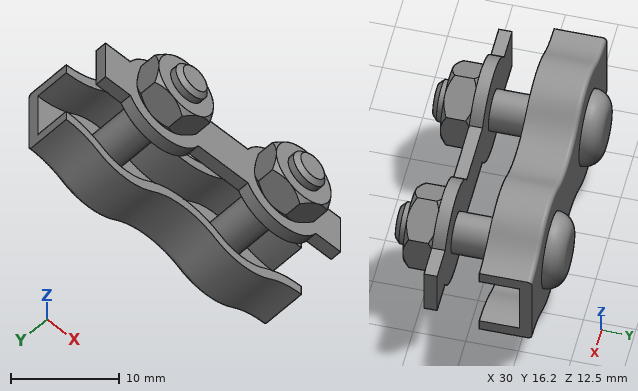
import cadquery as cq
import math

length = 30.0
bolt_spacing = length / 2
height = 12.45
valley_half_height = 4.05
crest_radius = 6.5
channel_depth = 5.0
sheet_thickness = 1.2
back_edge_radius = 0.45

plate_thickness = 1.25
plate_disc_diameter = 10.0
plate_bar_height = plate_disc_diameter / 2

bolt_diameter = 4.0
head_diameter = 7.35
head_height = 1.8
tip_chamfer = 0.48
tip_projection = 1.2
nut_flats = 7.0
nut_thickness = 2.95
total_depth = 16.2

tip_y = head_height - total_depth
nut_front_y = tip_y + tip_projection
plate_front_y = nut_front_y + nut_thickness
plate_back_y = plate_front_y + plate_thickness

bolt_positions = (-bolt_spacing / 2, bolt_spacing / 2)

half_pitch = bolt_spacing / 2
crest_center_z = height / 2 - crest_radius
valley_rise = valley_half_height - crest_center_z
valley_radius = (half_pitch**2 + valley_rise**2 - crest_radius**2) / (2 * (crest_radius - valley_rise))
valley_center_z = valley_half_height + valley_radius


def plane_at(y):
    """Work plane facing -Y at the given depth, with local x, y along X, Z."""
    return cq.Workplane("XZ", origin=(0, y, 0))


def cylinder(x, front_y, back_y, diameter):
    """Cylinder along Y between two depths."""
    return plane_at(back_y).center(x, 0).circle(diameter / 2).extrude(back_y - front_y)


def wavy_prism(inset, front_y, back_y):
    """Prism with two crests and a valley per long side, offset inward by inset."""
    crest = crest_radius - inset
    valley = valley_radius + inset
    crest_z = crest_center_z + crest
    valley_z = valley_center_z - valley
    slope = math.asin(half_pitch / (crest + valley))
    join_x = crest * math.sin(slope)
    join_z = crest_center_z + crest * math.cos(slope)
    valley_mid_x = half_pitch - valley * math.sin(slope / 2)
    valley_mid_z = valley_center_z - valley * math.cos(slope / 2)

    outline = plane_at(back_y).moveTo(-length / 2, -valley_z).lineTo(-length / 2, valley_z)
    for side in (1, -1):
        left, right = (side * x for x in bolt_positions)
        outline = (
            outline
            .threePointArc((left - side * valley_mid_x, side * valley_mid_z),
                           (left - side * join_x, side * join_z))
            .threePointArc((left, side * crest_z), (left + side * join_x, side * join_z))
            .threePointArc((0, side * valley_z), (right - side * join_x, side * join_z))
            .threePointArc((right, side * crest_z), (right + side * join_x, side * join_z))
            .threePointArc((right + side * valley_mid_x, side * valley_mid_z),
                           (side * length / 2, side * valley_z))
        )
        if side == 1:
            outline = outline.lineTo(length / 2, -valley_z)
    return outline.close().extrude(back_y - front_y)


def make_channel():
    """U-shaped channel, open toward -Y and at both ends."""
    body = wavy_prism(0, -channel_depth, 0)
    wavy_back_edges = body.faces(">Y").edges("not |Z")
    body = wavy_back_edges.fillet(back_edge_radius)
    return body.cut(wavy_prism(sheet_thickness, -channel_depth, -sheet_thickness))


def make_plate():
    """Flat bar with a round disc at each bolt."""
    plate = plane_at(plate_back_y).rect(length, plate_bar_height).extrude(plate_thickness)
    for x in bolt_positions:
        plate = plate.union(cylinder(x, plate_front_y, plate_back_y, plate_disc_diameter))
    return plate


def make_bolt(x):
    """Round-headed bolt with a chamfered tip."""
    shank = cylinder(x, tip_y, 0, bolt_diameter).faces("<Y").chamfer(tip_chamfer)
    head_arc_center = head_diameter / 2 - head_height
    arc_offset = head_height * math.sqrt(0.5)
    head = (
        cq.Workplane("XY")
        .lineTo(head_diameter / 2, 0)
        .threePointArc((head_arc_center + arc_offset, arc_offset), (head_arc_center, head_height))
        .lineTo(0, head_height)
        .close()
        .revolve(360, (0, 0, 0), (0, 1, 0))
        .translate((x, 0, 0))
    )
    return shank.union(head)


def make_nut(x):
    """Hexagon nut with corners toward +Z and -Z, turned down at both ends."""
    corner_diameter = nut_flats / math.cos(math.pi / 6)
    corner_chamfer = (corner_diameter - nut_flats) / 2
    hexagon = (
        plane_at(plate_front_y)
        .center(x, 0)
        .transformed(rotate=(0, 0, 90))
        .polygon(6, corner_diameter)
        .extrude(nut_thickness)
    )
    turned_blank = cylinder(x, nut_front_y, plate_front_y, corner_diameter)
    turned_blank = turned_blank.faces("<Y or >Y").chamfer(corner_chamfer)
    return hexagon.intersect(turned_blank)


result = make_channel().union(make_plate())
for bolt_x in bolt_positions:
    result = result.union(make_bolt(bolt_x)).union(make_nut(bolt_x))